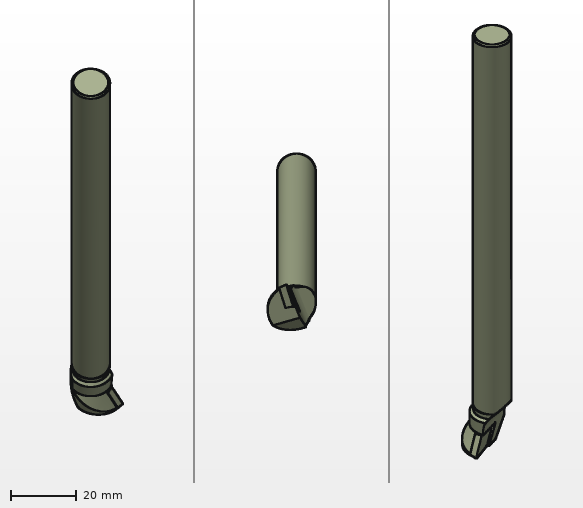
import cadquery as cq
import math

total_height = 151.2
overall_width = 17.0
shank_radius = 12.0 / 2
shank_chamfer = 0.6
shank_bottom = 13.9
neck_radius = 11.6 / 2

collar_radius = 7.0
collar_cone_top = 12.1
collar_top = 11.2
collar_bottom = 6.7
cone_slope = 1.7

head_radius = 16.5 / 2
head_center_x = head_radius - shank_radius

heel_top = 7.1
heel_toe_x = -0.6
heel_toe_z = 0.8
edge_lead = 3.0
end_slope = math.tan(math.radians(edge_lead))

relief_y = 0.9
relief_angle = 4.3
relief_flat_top = 8.3
relief_arc_mid = (1.4, 10.6)
relief_arc_end = (2.3, 12.3)
relief_runout = (6.2, 16.5)

nose_angle = 55.0
clearance_angle = 7.0
inscribed_diameter = 6.4
insert_thickness = 2.4
nose_radius = 0.4
nose_x = overall_width - shank_radius
insert_side = inscribed_diameter / math.sin(math.radians(nose_angle))

margin = 3.0
nose_zone = 1.5
reach = 30.2


def side_vector(length, angle):
    """Vector of a given length in the XZ plane, angle measured from +X."""
    turn = math.radians(angle)
    return cq.Vector(length * math.cos(turn), length * math.sin(turn))


lower_edge_angle = 180.0 - edge_lead
leading_edge_angle = lower_edge_angle - nose_angle
half_nose = nose_angle / 2
nose_center = cq.Vector(nose_x - nose_radius, nose_radius)
nose_to_tip = nose_radius / math.sin(math.radians(half_nose))
tip = nose_center - side_vector(nose_to_tip, lower_edge_angle - half_nose)
inner_corner = tip + side_vector(insert_side, lower_edge_angle) + side_vector(insert_side, leading_edge_angle)


def rhombus(side):
    """Rhombus on the rake plane, grown from the inner corner towards the tip."""
    leading = side_vector(side, leading_edge_angle)
    lower = side_vector(side, lower_edge_angle)
    corners = [inner_corner, inner_corner - leading, inner_corner - leading - lower, inner_corner - lower]
    return cq.Workplane("XZ").polyline([(p.x, p.y) for p in corners]).close()


def tapered_rhombus(side):
    """Rhombic plate whose sides draw in by the clearance angle towards -Y."""
    return rhombus(side).extrude(insert_thickness, taper=clearance_angle)


def make_insert():
    """Insert blank with its cutting nose rounded."""
    nose_edge = cq.selectors.BoxSelector(
        (tip.x - nose_zone, -insert_thickness, tip.y - nose_zone),
        (tip.x + nose_zone, 0, tip.y + nose_zone),
    )
    return tapered_rhombus(insert_side).edges("not #Y").edges(nose_edge).fillet(nose_radius)


def make_pocket():
    """Seat with walls against the insert's two inner sides, open to the tip and to +Y."""
    pocket_side = insert_side + margin
    return tapered_rhombus(pocket_side).union(rhombus(pocket_side).extrude(-margin))


def make_shank():
    """Shank with a chamfered top, stepping down to the neck."""
    shank_base = cq.Workplane("XY").workplane(offset=shank_bottom)
    shank = shank_base.circle(shank_radius).extrude(total_height - shank_bottom)
    neck = cq.Workplane("XY").circle(neck_radius).extrude(shank_bottom)
    return shank.faces(">Z").chamfer(shank_chamfer).union(neck)


def make_head():
    """Collar and cones, bounded sideways by the offset head cylinder."""
    cone_base_radius = collar_radius + collar_bottom / cone_slope
    flared_neck = (
        cq.Workplane("XZ")
        .moveTo(0, 0)
        .lineTo(cone_base_radius, 0)
        .lineTo(collar_radius, collar_bottom)
        .lineTo(collar_radius, collar_top)
        .lineTo(neck_radius, collar_cone_top)
        .lineTo(0, collar_cone_top)
        .close()
        .revolve()
    )
    bound = cq.Workplane("XY").center(head_center_x, 0).circle(head_radius).extrude(collar_cone_top)
    return flared_neck.intersect(bound)


def make_end_cut():
    """Slanted heel on the -X side and the nearly flat lower end."""
    heel_slope = (heel_top - heel_toe_z) / (heel_toe_x + shank_radius)
    return (
        cq.Workplane("XZ")
        .moveTo(-shank_radius - margin, heel_top + margin * heel_slope)
        .lineTo(heel_toe_x, heel_toe_z)
        .lineTo(reach, heel_toe_z - (reach - heel_toe_x) * end_slope)
        .lineTo(reach, -reach)
        .lineTo(-shank_radius - margin, -reach)
        .close()
        .extrude(reach, both=True)
    )


def make_relief_cut():
    """Flat on the +Y side that curves and runs out through the shank."""
    return (
        cq.Workplane("YZ")
        .moveTo(relief_y, -margin)
        .lineTo(relief_y, relief_flat_top)
        .threePointArc(relief_arc_mid, relief_arc_end)
        .lineTo(*relief_runout)
        .lineTo(reach, relief_runout[1])
        .lineTo(reach, -margin)
        .close()
        .extrude(reach, both=True)
        .rotate((0, 0, 0), (0, 0, 1), -relief_angle)
    )


def make_bar():
    """Shank and head in one, cut to shape and pocketed for the insert."""
    bar = make_shank().union(make_head())
    for cutter in (make_end_cut(), make_relief_cut(), make_pocket()):
        bar = bar.cut(cutter)
    return bar


bar = make_bar()
insert = make_insert()
result = cq.Compound.makeCompound([bar.val(), insert.val()])